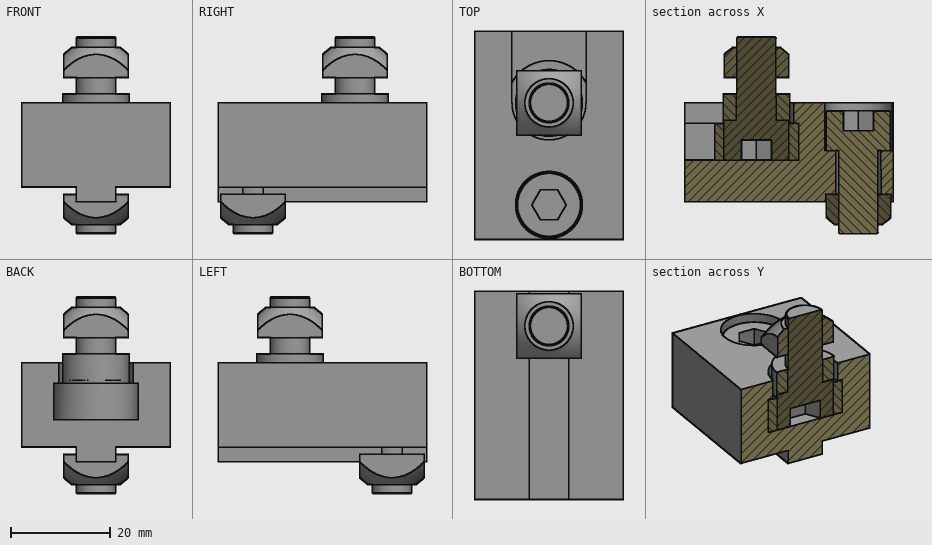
import cadquery as cq

width = 30.0
length = 42.0
block_height = 17.0
tongue_height = 3.0
tongue_width = 8.0

clamp_y = 7.0
stud_y = 27.55

shank_diameter = 8.0
head_diameter = 13.0
head_height = 8.0
head_chamfer = 0.15
tip_chamfer = 0.25
hex_corners = 6.95
hex_depth = 4.0
clamp_head_top = -1.7
clamp_tip = -26.45
screw_length = clamp_head_top - clamp_tip
stud_tip = 13.25

counterbore_diameter = 13.5
clearance_diameter = 9.0

nut_width = 13.0
nut_height = 6.1
dome_top_radius = 4.87
dome_middle_radius = 6.5
dome_corner_radius = nut_width / 2**0.5
dome_middle_drop = 1.4
dome_corner_drop = 4.6
stud_nut_seat = 5.0
clamp_nut_seat = -18.5

hub_diameter = 13.5
hub_top = 1.72
flange_diameter = 17.0
flange_top = -4.2
slot_width = 14.9
slot_floor = stud_tip - screw_length


def cylinder(y, diameter, bottom, top):
    """Vertical cylinder on the centre plane between two levels."""
    return cq.Workplane().workplane(offset=bottom).center(0, y).circle(diameter / 2).extrude(top - bottom)


def open_slot(slot_size, bottom, top):
    """Slot with a round end at the stud, open through the back of the housing."""
    run = length - stud_y
    straight = cq.Workplane().box(slot_size, run, top - bottom, centered=(True, False, False))
    return straight.translate((0, stud_y, bottom)).union(cylinder(stud_y, slot_size, bottom, top))


def make_cap_screw():
    """Socket screw with its tip at Z = 0, pointing up, and its head at the bottom."""
    head_bottom = -screw_length
    shank = cylinder(0, shank_diameter, head_bottom, 0).faces(">Z").chamfer(tip_chamfer)
    head = cylinder(0, head_diameter, head_bottom, head_bottom + head_height)
    head = head.faces("<Z").chamfer(head_chamfer)
    socket = cq.Workplane().workplane(offset=head_bottom).polygon(6, hex_corners).extrude(hex_depth)
    return shank.union(head).cut(socket)


def make_nut():
    """Square nut with its flat seat at Z = 0 and a domed top, bored for the shank."""
    dome = (
        cq.Workplane("XZ")
        .lineTo(dome_corner_radius, 0)
        .lineTo(dome_corner_radius, nut_height - dome_corner_drop)
        .threePointArc((dome_middle_radius, nut_height - dome_middle_drop), (dome_top_radius, nut_height))
        .lineTo(0, nut_height)
        .close()
        .revolve(360, (0, 0, 0), (0, 1, 0))
    )
    square = cq.Workplane().box(nut_width, nut_width, nut_height, centered=(True, True, False))
    return square.intersect(dome).cut(cylinder(0, shank_diameter, 0, nut_height))


def place(body, y, level, inverted=False):
    """Set a body on a screw axis, upside down if asked."""
    if inverted:
        body = body.rotate((0, 0, 0), (1, 0, 0), 180)
    return body.translate((0, y, level))


def make_housing():
    """Block with a bottom tongue, a screw hole and a T-slot."""
    bottom = -block_height - tongue_height
    block = cq.Workplane().box(width, length, block_height, centered=(True, False, False))
    tongue = cq.Workplane().box(tongue_width, length, tongue_height, centered=(True, False, False))
    housing = block.translate((0, 0, -block_height)).union(tongue.translate((0, 0, bottom)))

    housing = housing.cut(cylinder(clamp_y, clearance_diameter, bottom, 0))
    housing = housing.cut(cylinder(clamp_y, counterbore_diameter, clamp_head_top - head_height, 0))

    notch = cq.Workplane().box(nut_width, nut_width, clamp_nut_seat - bottom, centered=(True, True, False))
    housing = housing.cut(notch.translate((0, clamp_y, bottom)))

    housing = housing.cut(open_slot(slot_width, slot_floor, 0))
    return housing.cut(open_slot(flange_diameter, slot_floor, flange_top))


def make_bush():
    """Flanged bush, hollow underneath for the head of the stud screw."""
    hub = cylinder(stud_y, hub_diameter, flange_top, hub_top)
    flange = cylinder(stud_y, flange_diameter, slot_floor, flange_top)
    bore = cylinder(stud_y, shank_diameter, slot_floor, hub_top)
    head_recess = cylinder(stud_y, head_diameter, slot_floor, slot_floor + head_height)
    return hub.union(flange).cut(bore).cut(head_recess)


housing = make_housing()
bush = make_bush()

screws = []
for y, tip, inverted in [(stud_y, stud_tip, False), (clamp_y, clamp_tip, True)]:
    screws.append(place(make_cap_screw(), y, tip, inverted).val())

nuts = []
for y, seat, inverted in [(stud_y, stud_nut_seat, False), (clamp_y, clamp_nut_seat, True)]:
    nuts.append(place(make_nut(), y, seat, inverted).val())

result = cq.Compound.makeCompound([housing.val(), bush.val(), *screws, *nuts])